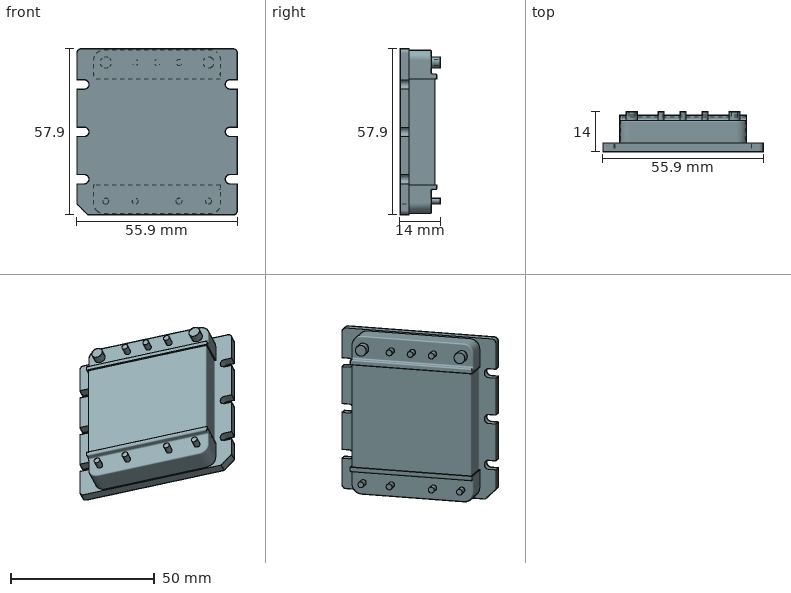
import cadquery as cq

plate_width = 55.9
plate_height = 57.9
plate_thickness = 3.2
plate_corner_radius = 1.5
key_chamfer = 3.8

slot_width = 3.2
slot_depth = 4.15
slot_pitch = 16.5

cap_width = 44.25
cap_outer_z = 28.5
cap_inner_z = 18.5
cap_back = 10.9
cap_corner_radius = 3.6
cap_edge_radius = 0.45

lip_back = 12.8
lip_thickness = 1.7
lip_foot_radius = 0.5

lid_inset = 0.35
lid_back = 12.2
lid_edge_radius = 0.45
lid_foot_radius = 0.4

pin_end = 14.0
pin_row_z = 24.15
power_pin_diameter = 3.9
signal_pin_diameter = 2.1
power_pin_x = 17.9
signal_pin_x = 7.65


def make_plate():
    plate = cq.Workplane("XZ").rect(plate_width, plate_height).extrude(-plate_thickness)
    plate = plate.edges("|Y and <X and <Z").chamfer(key_chamfer)
    plate = plate.edges("|Y and (>X or >Z)").fillet(plate_corner_radius)
    return plate


def make_slots():
    """Slots centred on the side edges, so that half of each lies inside the plate."""
    centres = [(side * plate_width / 2, row * slot_pitch) for side in (-1, 1) for row in (-1, 0, 1)]
    return (
        cq.Workplane("XZ")
        .pushPoints(centres)
        .slot2D(2 * slot_depth, slot_width)
        .extrude(-plate_thickness)
    )


def make_top_cap():
    """L-shaped section in Y and Z, extruded across the width."""
    lip_outer_z = cap_inner_z + lip_thickness
    cap = (
        cq.Workplane("YZ")
        .polyline(
            [
                (plate_thickness, cap_inner_z),
                (lip_back, cap_inner_z),
                (lip_back, lip_outer_z),
                (cap_back, lip_outer_z),
                (cap_back, cap_outer_z),
                (plate_thickness, cap_outer_z),
            ]
        )
        .close()
        .extrude(cap_width / 2, both=True)
    )
    cap = cap.edges(cq.NearestToPointSelector((0, cap_back, lip_outer_z))).fillet(lip_foot_radius)
    cap = cap.faces(">Z").edges("|Y").fillet(cap_corner_radius)

    outer_edge = cq.NearestToPointSelector((0, cap_back, cap_outer_z))
    lip_edge = cq.NearestToPointSelector((0, lip_back, lip_outer_z))
    return cap.edges(outer_edge + lip_edge).fillet(cap_edge_radius)


def make_lid():
    """Rounded along its back edges and flared where it meets the plate."""
    half_width = cap_width / 2 - lid_inset
    profile = (
        cq.Workplane("XY", origin=(0, 0, -cap_inner_z))
        .moveTo(0, plate_thickness)
        .lineTo(half_width + lid_foot_radius, plate_thickness)
        .radiusArc((half_width, plate_thickness + lid_foot_radius), lid_foot_radius)
        .lineTo(half_width, lid_back)
        .lineTo(0, lid_back)
        .mirrorY()
    )
    lid = profile.extrude(2 * cap_inner_z)
    return lid.faces(">Y").edges("|Z").fillet(lid_edge_radius)


def make_pins(diameter, x_positions, z):
    return (
        cq.Workplane("XZ", origin=(0, cap_back, 0))
        .pushPoints([(x, z) for x in x_positions])
        .circle(diameter / 2)
        .extrude(cap_back - pin_end)
    )


top_cap = make_top_cap()
bottom_cap = top_cap.mirror("XY")

power_pins = make_pins(power_pin_diameter, [-power_pin_x, power_pin_x], pin_row_z)
top_signal_pins = make_pins(signal_pin_diameter, [-signal_pin_x, 0, signal_pin_x], pin_row_z)
bottom_pin_positions = [-power_pin_x, -signal_pin_x, signal_pin_x, power_pin_x]
bottom_pins = make_pins(signal_pin_diameter, bottom_pin_positions, -pin_row_z)

result = make_plate().cut(make_slots())
for feature in (top_cap, bottom_cap, make_lid(), power_pins, top_signal_pins, bottom_pins):
    result = result.union(feature)